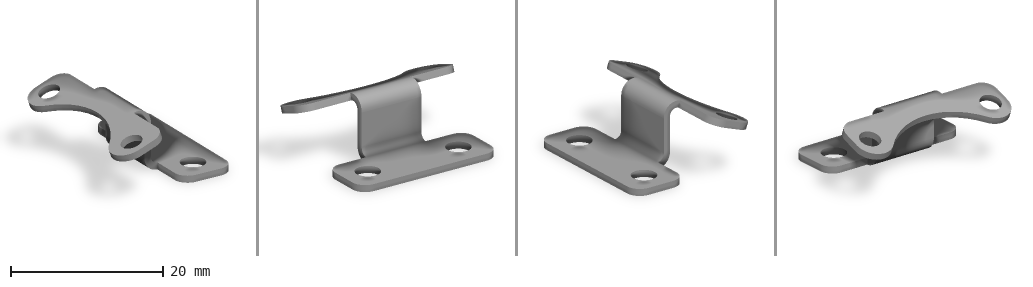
import cadquery as cq
import math

thickness = 1.0
inner_radius = 1.0
outer_radius = inner_radius + thickness
tilt = 20.0
neck_width = 9.5

height = 9.0
total_depth = 18.35

base_width = 22.0
base_depth = 8.0
base_corner_radius = 2.0
base_hole_diameter = 3.5
base_hole_spacing = 14.4

upper_width = 25.0
upper_corner_radius = 2.0
lobe_radius = 2.7
lobe_hole_diameter = 3.0
lobe_hole_spacing = 20.0
lobe_hole_setback = 3.95
arch_depth = 4.25

tilt_sin = math.sin(math.radians(tilt))
tilt_cos = math.cos(math.radians(tilt))
wall_outer_y = -outer_radius
upper_bend_y = wall_outer_y - inner_radius
upper_bend_z = height - outer_radius
upper_edge_y = upper_bend_y - outer_radius * tilt_sin
upper_edge_z = upper_bend_z + outer_radius * tilt_cos
upper_length = (total_depth - base_depth + upper_edge_y) / tilt_cos


def make_base_plate():
    """Flat rounded plate with two through holes."""
    plate = (
        cq.Workplane("XY")
        .box(base_width, base_depth, thickness, centered=(True, False, False))
        .edges("|Z")
        .fillet(base_corner_radius)
    )
    return (
        plate.faces(">Z")
        .workplane(origin=(0, base_depth / 2, 0))
        .rarray(base_hole_spacing, 1, 2, 1)
        .hole(base_hole_diameter)
    )


def bend_point(center_y, center_z, radius, angle):
    """Point (y, z) on a bend at an angle in degrees from +Y toward +Z."""
    turn = math.radians(angle)
    return (center_y + radius * math.cos(turn), center_z + radius * math.sin(turn))


def make_neck():
    """Lower 90 degree bend, upright wall and upper bend as one extruded strip."""
    lower = (0, outer_radius)
    upper = (upper_bend_y, upper_bend_z)
    bend_end = 90 + tilt
    bend_middle = bend_end / 2
    return (
        cq.Workplane("YZ")
        .moveTo(0, 0)
        .threePointArc(bend_point(*lower, outer_radius, 225), bend_point(*lower, outer_radius, 180))
        .lineTo(wall_outer_y, upper_bend_z)
        .threePointArc(
            bend_point(*upper, inner_radius, bend_middle), bend_point(*upper, inner_radius, bend_end)
        )
        .lineTo(*bend_point(*upper, outer_radius, bend_end))
        .threePointArc(
            bend_point(*upper, outer_radius, bend_middle), bend_point(*upper, outer_radius, 0)
        )
        .lineTo(wall_outer_y + thickness, outer_radius)
        .threePointArc(bend_point(*lower, inner_radius, 225), bend_point(*lower, inner_radius, 270))
        .close()
        .extrude(neck_width / 2, both=True)
    )


def make_upper_plate():
    """Sloping plate with two lobes joined by a concave arc tangent to both."""
    plane = cq.Plane(
        origin=(0, upper_edge_y, upper_edge_z),
        xDir=(1, 0, 0),
        normal=(0, -tilt_sin, tilt_cos),
    )
    half_width = upper_width / 2
    lobe_x = half_width - lobe_radius
    lobe_y = lobe_radius - upper_length

    arch_rise = arch_depth - lobe_radius
    arch_radius = (lobe_x**2 + arch_rise**2 - lobe_radius**2) / (2 * arch_depth)
    arch_top_y = lobe_y + arch_rise
    arch_center_y = arch_top_y - arch_radius
    share = lobe_radius / (lobe_radius + arch_radius)
    contact_x = lobe_x * (1 - share)
    contact_y = lobe_y + (arch_center_y - lobe_y) * share

    plate = (
        cq.Workplane(plane)
        .moveTo(-half_width, 0)
        .lineTo(half_width, 0)
        .lineTo(half_width, lobe_y)
        .threePointArc((lobe_x, lobe_y - lobe_radius), (contact_x, contact_y))
        .threePointArc((0, arch_top_y), (-contact_x, contact_y))
        .threePointArc((-lobe_x, lobe_y - lobe_radius), (-half_width, lobe_y))
        .close()
        .extrude(-thickness)
    )
    corner_reach = upper_corner_radius / 2
    corner_finder = cq.selectors.BoxSelector(
        (-upper_width, upper_edge_y - corner_reach, 0),
        (upper_width, upper_edge_y + corner_reach, height),
    )
    plate = plate.edges(cq.selectors.ParallelDirSelector(plane.zDir)).edges(corner_finder)
    plate = plate.fillet(upper_corner_radius)
    holes = (
        cq.Workplane(plane)
        .center(0, -lobe_hole_setback)
        .rarray(lobe_hole_spacing, 1, 2, 1)
        .circle(lobe_hole_diameter / 2)
        .extrude(-thickness)
    )
    return plate.cut(holes)


result = make_base_plate().union(make_neck()).union(make_upper_plate())